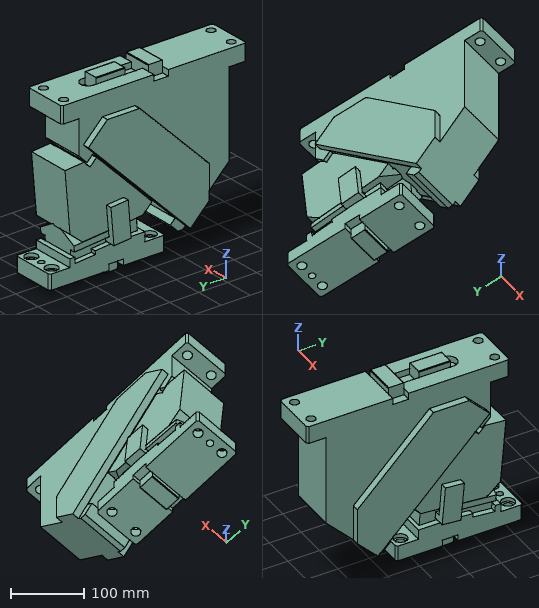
import cadquery as cq
import math


body_width = 75.0
total_height = 275.0
corner_chamfer = 3.0
bolt_diameter = 13.5
bolt_spacing = 45.0
bolt_inset = 15.0

key_length = 50.0
key_width = 25.0
key_height = 20.0
key_projection = 10.0
key_chamfer = 1.0
key_seat = key_height - key_projection

base_front = -85.0
base_back = 115.0
base_thickness = 25.0
pad_front = -50.0
pad_back = 80.0
pad_top = 40.4
pad_lip_top = 38.3
counterbore_diameter = 20.5
counterbore_depth = 6.0
dowel_diameter = 10.0

tilt = math.radians(5.0)
slider_corner = (77.9, 55.7)
rail_start = 5.0
rail_end = 120.0
rail_neck_width = 57.0
rail_clearance = 0.5
rail_root = -35.0
flange_bottom = -10.0
flange_end = 90.0
ridge_height = 22.0
seat_floor = -22.0
relief_floor = -27.7
relief_end = 40.0

slider_height = 120.0
slider_reach = 300.0
slider_back_chamfer = 20.0
slider_face_gap = 2.1
slider_toe = 79.6
slider_shoulder = 215.7
slider_shoulder_depth = 18.0
wear_strip_width = 50.0
hook_start = 65.0
hook_end = 95.0
hook_bottom = -20.0
hook_top = 40.0
hook_thickness = 10.0

housing_front = -226.0
housing_back = 94.0
flange_thickness = 28.0
body_front = -196.0
body_back = 64.0
cam_origin = (-120.4, 28.0)
drive_face_height = 0.4
lip_start = 225.2
lip_depth = 16.0
nose_end = 25.1
nose_depth = 12.4
nose_bottom = 23.4
wear_pad_end = 154.5
wear_pad_depth = 0.7
cheek_thickness = 11.0
cheek_end = 250.0
cheek_depth = 86.3
cheek_top = 237.7
cheek_front = -152.8
long_key_center = -10.0
cross_key_center = -78.0
slot_back = 32.0


def cam_point(along, height):
    """Y, Z of a point: distance along the cheek edge, and height square to it."""
    diagonal = math.sqrt(0.5)
    return (cam_origin[0] + (along - height) * diagonal, cam_origin[1] + (along + height) * diagonal)


def slide_point(travel, height):
    """Y, Z of a point in the slider frame, which rises toward -Y."""
    return (
        slider_corner[0] - travel * math.cos(tilt) + height * math.sin(tilt),
        slider_corner[1] + travel * math.sin(tilt) + height * math.cos(tilt),
    )


def prism(points, width):
    """Side profile of Y, Z points extruded to a width centred on X = 0."""
    return cq.Workplane("YZ").polyline(points).close().extrude(width / 2, both=True)


def block(size_x, y_range, z_range):
    """Box centred on X = 0 between two Y and two Z limits."""
    y_low, y_high = y_range
    z_low, z_high = z_range
    center = (0, (y_low + y_high) / 2, (z_low + z_high) / 2)
    return cq.Workplane("XY").box(size_x, y_high - y_low, z_high - z_low).translate(center)


def plate(y_range, z_range):
    """Mounting plate with chamfered vertical corners."""
    return block(body_width, y_range, z_range).edges("|Z").chamfer(corner_chamfer)


def bolt_positions(y_range):
    """X, Y places of the four corner bolts of a plate."""
    sides = (-bolt_spacing / 2, bolt_spacing / 2)
    rows = (y_range[0] + bolt_inset, y_range[1] - bolt_inset)
    return [(x, y) for x in sides for y in rows]


def cylinders(diameter, positions, z_range):
    """Upright cylinders at X, Y places between two Z limits."""
    floor = cq.Workplane("XY").workplane(offset=z_range[0])
    return floor.pushPoints(positions).circle(diameter / 2).extrude(z_range[1] - z_range[0])


def cross_key(y_center, z_range, outer_face):
    """Key lying along X, with chamfers along the two long edges of its outer face."""
    y_range = (y_center - key_width / 2, y_center + key_width / 2)
    return block(key_length, y_range, z_range).faces(outer_face).edges("|X").chamfer(key_chamfer)


def cross_slot(y_center, z_range):
    """Key slot running through the full body width."""
    return block(body_width, (y_center - key_width / 2, y_center + key_width / 2), z_range)


def roof(start, length, eaves):
    """Triangular guide ridge spanning the body width above the eaves level."""
    slide_direction = (0, -math.cos(tilt), math.sin(tilt))
    section = cq.Plane((0, *slide_point(start, eaves)), xDir=(1, 0, 0), normal=slide_direction)
    half = body_width / 2
    outline = [(-half, 0), (half, 0), (0, ridge_height)]
    return cq.Workplane(section).polyline(outline).close().extrude(length)


def slide_block(travel_range, height_range, width):
    """Tilted box in the slider frame, centred on X = 0."""
    start, end = travel_range
    low, high = height_range
    corners = [(start, low), (end, low), (end, high), (start, high)]
    return prism([slide_point(*corner) for corner in corners], width)


def make_base():
    ends = (base_front, base_back)
    seat_runout = (pad_top - slider_corner[1] - seat_floor * math.cos(tilt)) / math.sin(tilt)
    lip_height = (pad_lip_top - slider_corner[1] - rail_start * math.sin(tilt)) / math.cos(tilt)
    pad = prism(
        [
            (pad_back, 0),
            (pad_back, pad_lip_top),
            slide_point(rail_start, lip_height),
            slide_point(rail_start, relief_floor),
            slide_point(relief_end, relief_floor),
            slide_point(relief_end, seat_floor),
            slide_point(seat_runout, seat_floor),
            (pad_front, pad_top),
            (pad_front, 0),
        ],
        body_width,
    )
    neck = slide_block((rail_start, rail_end), (rail_root, -rail_clearance), rail_neck_width)
    flange = slide_block((rail_start, flange_end), (flange_bottom, -rail_clearance), body_width)
    ridge = roof(rail_start, flange_end - rail_start, -rail_clearance)

    base = plate(ends, (0, base_thickness)).union(pad)
    bolts = bolt_positions(ends)
    base = base.cut(cylinders(bolt_diameter, bolts, (0, base_thickness)))
    counterbores = (base_thickness - counterbore_depth, base_thickness)
    base = base.cut(cylinders(counterbore_diameter, bolts, counterbores))
    dowel = [(0, base_back - bolt_inset)]
    base = base.cut(cylinders(dowel_diameter, dowel, (0, base_thickness)))
    base = base.union(neck).union(flange).union(ridge)
    base = base.cut(cross_slot(0, (0, key_seat)))
    return base.union(cross_key(0, (-key_projection, key_seat), "<Z"))


def make_hook(side):
    """L-shaped hook on one slider side whose foot reaches under the rail flange."""
    inner = body_width / 2
    outer = inner + hook_thickness
    foot_tip = rail_neck_width / 2
    travel = (hook_start, hook_end)
    arm = slide_block(travel, (hook_bottom, hook_top), outer - inner)
    foot = slide_block(travel, (hook_bottom, flange_bottom), outer - foot_tip)
    arm = arm.translate((side * (inner + outer) / 2, 0, 0))
    return arm.union(foot.translate((side * (foot_tip + outer) / 2, 0, 0)))


def make_slider():
    chamfer = slider_back_chamfer
    blank = prism(
        [
            slide_point(0, chamfer),
            slide_point(chamfer, 0),
            slide_point(slider_reach, 0),
            slide_point(slider_reach, slider_height),
            slide_point(0, slider_height),
        ],
        body_width,
    )
    cam_profile = prism(
        [
            cam_point(slider_toe, -slider_face_gap),
            cam_point(slider_shoulder, -slider_face_gap),
            cam_point(slider_shoulder, -slider_shoulder_depth),
            cam_point(slider_reach, -slider_shoulder_depth),
            cam_point(slider_reach, -slider_reach),
            cam_point(slider_toe, -slider_reach),
        ],
        body_width,
    )
    wear_strip = prism(
        [
            cam_point(slider_toe, -slider_face_gap),
            cam_point(slider_toe, -wear_pad_depth),
            cam_point(wear_pad_end, -wear_pad_depth),
            cam_point(wear_pad_end, drive_face_height),
            cam_point(slider_shoulder, drive_face_height),
            cam_point(slider_shoulder, -slider_face_gap),
        ],
        wear_strip_width,
    )
    slider = blank.intersect(cam_profile).union(wear_strip)
    slider = slider.cut(roof(0, slider_reach, 0))
    for side in (-1, 1):
        slider = slider.union(make_hook(side))
    return slider


def make_housing():
    ends = (housing_front, housing_back)
    flange_bottom_z = total_height - flange_thickness
    end_slope = sum(cam_origin)
    lip_rise = cam_point(0, -lip_depth)
    nose_rise = cam_point(0, -nose_depth)
    body = prism(
        [
            (body_front, total_height),
            (body_back, total_height),
            (body_back, body_back + lip_rise[1] - lip_rise[0]),
            cam_point(lip_start, -lip_depth),
            cam_point(lip_start, drive_face_height),
            cam_point(wear_pad_end, drive_face_height),
            cam_point(wear_pad_end, -wear_pad_depth),
            cam_point(nose_end, -wear_pad_depth),
            cam_point(nose_end, -nose_depth),
            (nose_bottom - nose_rise[1] + nose_rise[0], nose_bottom),
            (end_slope - nose_bottom, nose_bottom),
            (body_front, end_slope - body_front),
        ],
        body_width,
    )
    cheek_corner = cam_point(0, cheek_depth)
    cheek_rise = cheek_corner[1] - cheek_corner[0]
    cheek_back = cam_point(cheek_end, 0)
    cheeks = prism(
        [
            cam_origin,
            cheek_back,
            (sum(cheek_back) - cheek_top, cheek_top),
            (cheek_top - cheek_rise, cheek_top),
            (cheek_front, cheek_front + cheek_rise),
            (cheek_front, end_slope - cheek_front),
        ],
        body_width + 2 * cheek_thickness,
    )
    cheeks = cheeks.cut(block(body_width, ends, (0, total_height)))

    housing = plate(ends, (flange_bottom_z, total_height)).union(body).union(cheeks)
    housing = housing.cut(cylinders(bolt_diameter, bolt_positions(ends), (flange_bottom_z, total_height)))

    seat = (total_height - key_seat, total_height)
    key_span = (total_height - key_seat, total_height + key_projection)
    slot_center = slot_back - key_width / 2
    housing = housing.cut(cross_slot(cross_key_center, seat))
    housing = housing.cut(block(key_width, (cross_key_center, slot_center), seat))
    housing = housing.cut(cylinders(key_width, [(0, slot_center)], seat))
    long_ends = (long_key_center - key_length / 2, long_key_center + key_length / 2)
    long_key = block(key_width, long_ends, key_span).faces(">Z").edges("|Y").chamfer(key_chamfer)
    return housing.union(long_key).union(cross_key(cross_key_center, key_span, ">Z"))


base = make_base()
slider = make_slider()
housing = make_housing()
result = cq.Compound.makeCompound([*base.vals(), *slider.vals(), *housing.vals()])